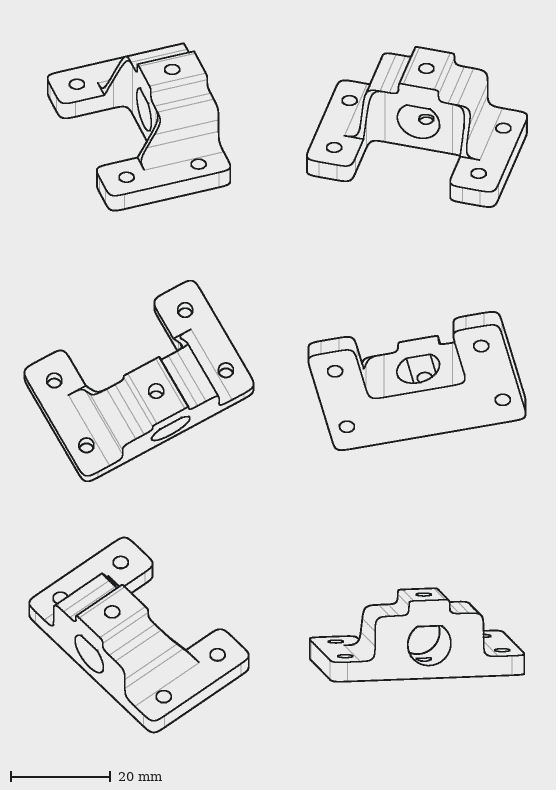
import cadquery as cq
import math

blend_fullness = 0.87
min_straight = 0.0005

plate_width = 39.57
plate_depth = 26.1
plate_thickness = 4.0
large_blend = 3.0
leg_inner_x = 10.05

housing_half_width = 11.08
housing_depth = 12.0
housing_top = 13.05
gusset_end_depth = 16.9

rib_half_width = 4.15
rib_top = 16.0
rib_edge_blend = 0.95
rib_foot_blend = rib_top - rib_edge_blend - housing_top

bore_radius = 4.4
bore_center_z = 7.05
bore_flat_z = 10.7
hole_diameter = 3.0
rib_hole_floor_z = 2.0
rear_hole_x = 16.03
rear_hole_depth = 6.0
front_hole_x = 15.05
front_hole_depth = 20.97

back_y = plate_depth / 2
housing_front_y = back_y - housing_depth
gusset_front_y = back_y - gusset_end_depth
rear_hole_y = back_y - rear_hole_depth
front_hole_y = back_y - front_hole_depth


def blended_outline(plane, corners):
    """Closed outline through (x, y, blend reach) corners; reach 0 is a sharp corner."""

    def toward(start, end, distance):
        share = distance / math.dist(start[:2], end[:2])
        return (start[0] + share * (end[0] - start[0]), start[1] + share * (end[1] - start[1]))

    outline = plane.moveTo(*corners[0][:2])
    last = len(corners) - 1
    for i in range(1, last + 1):
        corner = corners[i]
        before = corners[i - 1]
        after = corners[0] if i == last else corners[i + 1]
        reach = corner[2]
        if reach == 0:
            outline = outline.lineTo(*corner[:2])
            continue
        handle = reach * (1 - blend_fullness)
        start = toward(corner, before, reach)
        end = toward(corner, after, reach)
        if before[2] + reach < math.dist(before[:2], corner[:2]) - min_straight:
            outline = outline.lineTo(*start)
        outline = outline.bezier(
            [start, toward(corner, before, handle), toward(corner, after, handle), end]
        )
    return outline.close()


def base_plate():
    """U-shaped plate with blended outer and inner corners."""
    outer_x = plate_width / 2
    half = blended_outline(
        cq.Workplane("XY"),
        [
            (0, housing_front_y, 0),
            (0, back_y, 0),
            (outer_x, back_y, large_blend),
            (outer_x, -back_y, large_blend),
            (leg_inner_x, -back_y, large_blend),
            (leg_inner_x, housing_front_y, large_blend),
        ],
    ).extrude(plate_thickness)
    return half.union(half.mirror("YZ"))


def housing_blank():
    """Housing with rib and flared feet, as long as the gussets."""
    foot_x = plate_width / 2 - large_blend
    half = blended_outline(
        cq.Workplane("XZ", origin=(0, back_y, 0)),
        [
            (0, 0, 0),
            (0, rib_top, 0),
            (rib_half_width, rib_top, rib_edge_blend),
            (rib_half_width, housing_top, rib_foot_blend),
            (housing_half_width, housing_top, large_blend),
            (housing_half_width, plate_thickness, large_blend),
            (foot_x, plate_thickness, 0),
            (foot_x, 0, 0),
        ],
    ).extrude(gusset_end_depth)
    return half.union(half.mirror("YZ"))


def gusset_slope():
    """Material in front of the housing face and above the sloped gusset edges."""
    return (
        cq.Workplane("YZ")
        .moveTo(gusset_front_y, plate_thickness)
        .lineTo(housing_front_y, housing_top)
        .lineTo(housing_front_y, rib_top)
        .lineTo(gusset_front_y, rib_top)
        .close()
        .extrude(plate_width / 2, both=True)
    )


def leg_opening():
    """Gap between the legs, with blended inner corners, at full height."""
    half = blended_outline(
        cq.Workplane("XY"),
        [
            (0, housing_front_y, 0),
            (0, -back_y, 0),
            (leg_inner_x, -back_y, 0),
            (leg_inner_x, housing_front_y, large_blend),
        ],
    ).extrude(rib_top)
    return half.union(half.mirror("YZ"))


def flatted_bore():
    """Round bore along Y with a flat across its top."""
    bore = (
        cq.Workplane("XZ", origin=(0, back_y, 0))
        .center(0, bore_center_z)
        .circle(bore_radius)
        .extrude(housing_depth)
    )
    below_flat = cq.Workplane("XY").box(
        plate_width, plate_depth, bore_flat_z, centered=(True, True, False)
    )
    return bore.intersect(below_flat)


def plate_holes():
    """Through holes for the four mounting screws."""
    places = []
    for side in (-1, 1):
        places.append((side * rear_hole_x, rear_hole_y))
        places.append((side * front_hole_x, front_hole_y))
    return cq.Workplane("XY").pushPoints(places).circle(hole_diameter / 2).extrude(rib_top)


def rib_hole():
    """Set-screw hole from the rib top across the bore, ending flat below its floor."""
    return (
        cq.Workplane("XY", origin=(0, rear_hole_y, rib_hole_floor_z))
        .circle(hole_diameter / 2)
        .extrude(rib_top - rib_hole_floor_z)
    )


result = (
    housing_blank()
    .cut(gusset_slope())
    .cut(leg_opening())
    .union(base_plate())
    .cut(flatted_bore())
    .cut(plate_holes())
    .cut(rib_hole())
    .clean()
)